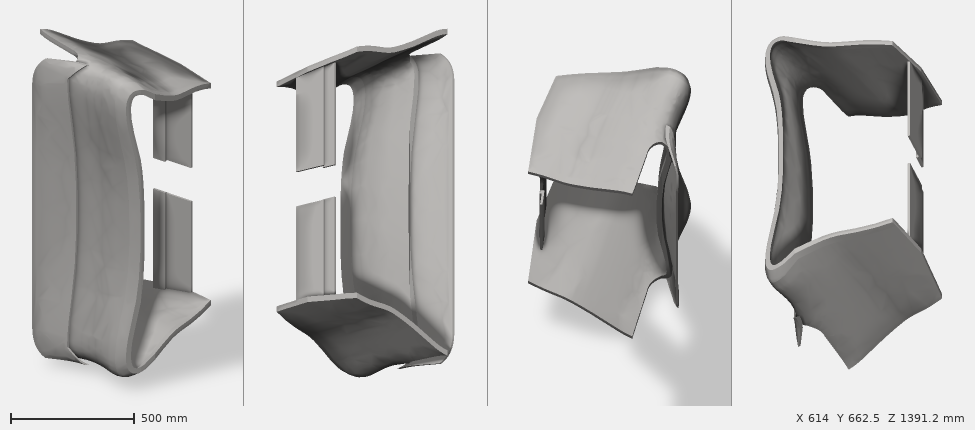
import cadquery as cq
import math


depth_x = 614.0
width_y = 662.0
height_z = 1391.0

shell_thickness = 22.0
rear_reach = 675.0
shell_back_y = 695.0
wall_front_x = 278.0
roof_edge_y = 142.0
notch_start = (202.0, 159.0)
notch_middle = (250.0, 152.0)
notch_end = (wall_front_x, 124.0)
rear_corner_front = (4.0, 600.0)
rear_corner_middle = (253.0, width_y)

trim_outer = [(463.0, width_y), (548.0, 454.0), (611.0, 282.0), (depth_x, 209.0), (607.0, 111.0),
              (607.0, 0.0)]
trim_inner = [(438.0, width_y), (512.0, 465.0), (585.0, 282.0), (566.0, 139.0), (566.0, 0.0)]

guard_thickness = 8.0
guard_back_y = 181.0
guard_front_x = 145.0
guard_rear_x = 292.0
guard_top = 660.0
guard_straight_top = 543.0
guard_rear_straight_top = 591.0
guard_corner_middle_x = 161.0
guard_corner_middle_z = 610.0
guard_top_front_x = 196.0
guard_top_rear_x = 352.0

post_start = (150.0, 595.0)
post_angle = 14.0
post_thickness = 10.0
narrow_strip_length = 64.0
wide_strip_start = 50.0
wide_strip_length = 145.0
narrow_strip_end = 68.0
wide_strip_end = 74.0

SHELL_SECTIONS = {
    0.0: [(rear_reach, 509.0), (600.0, 535.0), (516.0, 554.0), (438.0, 561.0), (383.0, 580.0), (267.0, 639.0),
          (143.0, 695.4), (83.0, 690.0), (49.0, 640.0), (42.0, 557.0), (65.0, 334.0), (83.0, 0.0)],
    139.0: [(rear_reach, 502.0), (600.0, 527.0), (516.0, 545.0), (434.0, 555.0), (375.0, 577.0), (267.0, 632.0),
           (159.0, 675.0), (102.0, 669.0), (70.0, 629.0), (60.0, 557.0), (86.0, 334.0), (105.0, 0.0)],
    278.0: [(rear_reach, 495.0), (600.0, 519.0), (516.0, 538.0), (431.0, 551.0), (369.0, 575.0), (267.0, 625.0),
           (178.0, 660.0), (124.0, 653.0), (90.0, 619.0), (81.0, 557.0), (107.0, 334.0), (125.0, 0.0)],
    431.0: [(rear_reach, 487.0), (600.0, 509.0), (516.0, 527.0), (425.0, 543.0), (362.0, 568.0), (267.0, 618.0),
           (186.0, 653.0), (145.0, 644.0), (120.0, 610.0), (113.0, 550.0), (145.0, 334.0), (167.0, 0.0)],
    566.0: [(rear_reach, 480.0), (600.0, 501.0), (516.0, 513.0), (417.0, 529.0), (355.0, 555.0), (267.0, 608.0),
           (189.0, 650.0), (146.0, 643.0), (121.0, 607.0), (114.0, 543.0), (153.0, 334.0), (181.0, 0.0)],
    614.0: [(rear_reach, 472.0), (600.0, 490.0), (516.0, 504.0), (417.0, 518.0), (350.0, 545.0), (267.0, 593.0),
           (206.0, 622.0), (170.0, 614.0), (150.0, 585.0), (145.0, 540.0), (182.0, 334.0), (207.0, 0.0)],
}

GUARD_SECTIONS = {
    145.0: [(5.0, 673.0), (1.0, 640.0), (0.0, 557.0), (0.0, 334.0), (0.0, 0.0)],
    209.0: [(45.0, 673.0), (30.0, 640.0), (22.0, 557.0), (39.0, 334.0), (50.0, 0.0)],
    278.0: [(111.0, 673.0), (75.0, 643.0), (63.0, 557.0), (89.0, 334.0), (107.0, 0.0)],
    362.0: [(160.0, 673.0), (106.0, 645.0), (89.0, 557.0), (115.0, 334.0), (135.0, 0.0)],
}


def mirrored(upper_half):
    """Add the lower half of an outline whose last point lies at Z = 0."""
    return upper_half + [(y, -z) for y, z in reversed(upper_half[:-1])]


def inset(points, distance):
    """Move each point square to the line through its neighbours, toward the inside of the C."""
    moved = []
    for i, (y, z) in enumerate(points):
        y0, z0 = points[max(i - 1, 0)]
        y1, z1 = points[min(i + 1, len(points) - 1)]
        length = math.hypot(y1 - y0, z1 - z0)
        moved.append((y - distance * (z1 - z0) / length, z + distance * (y1 - y0) / length))
    return moved


def section_loft(sections, distance, back_y):
    """Loft closed sections: a spline through the inset outline, closed by straight lines at back_y."""
    wires = []
    for x, upper_half in sections.items():
        outline = inset(mirrored(upper_half), distance)
        points = [cq.Vector(x, y, z) for y, z in outline]
        top_corner = cq.Vector(x, back_y, points[0].z)
        bottom_corner = cq.Vector(x, back_y, points[-1].z)
        closing = cq.Wire.makePolygon([points[-1], bottom_corner, top_corner, points[0]])
        wires.append(cq.Wire.assembleEdges([cq.Edge.makeSpline(points), *closing.Edges()]))
    return cq.Workplane(cq.Solid.makeLoft(wires))


def full_height_prism(points):
    return cq.Workplane("XY").polyline(points).close().extrude(height_z, both=True)


outside = section_loft(SHELL_SECTIONS, 0, shell_back_y)
inside = section_loft(SHELL_SECTIONS, shell_thickness, shell_back_y)


def make_plan():
    """Plan outline of housing and trim together, with the rounded notch ahead of the wall."""
    outline = cq.Workplane("XY").moveTo(0, roof_edge_y).lineTo(*rear_corner_front)
    outline = outline.lineTo(*rear_corner_middle)
    for point in trim_outer:
        outline = outline.lineTo(*point)
    outline = outline.lineTo(wall_front_x, 0).lineTo(*notch_end)
    outline = outline.threePointArc(notch_middle, notch_start).close()
    return outline.extrude(height_z, both=True)


trimmed_shell = outside.cut(inside).intersect(make_plan())
trim_region = full_height_prism(trim_inner + trim_outer[::-1])
housing = trimmed_shell.cut(trim_region)
rear_trim = trimmed_shell.intersect(trim_region)


def make_guard():
    """Flared strip beside the wall, with swept-back corners cut square to its face."""
    outer = section_loft(GUARD_SECTIONS, 0, guard_back_y)
    inner = section_loft(GUARD_SECTIONS, guard_thickness, guard_back_y)
    front = cq.Workplane("XZ").moveTo(guard_front_x, -guard_straight_top)
    front = front.lineTo(guard_front_x, guard_straight_top)
    front = front.threePointArc((guard_corner_middle_x, guard_corner_middle_z), (guard_top_front_x, guard_top))
    front = front.lineTo(guard_top_rear_x, guard_top)
    front = front.lineTo(guard_rear_x, guard_rear_straight_top).lineTo(guard_rear_x, -guard_rear_straight_top)
    front = front.lineTo(guard_top_rear_x, -guard_top).lineTo(guard_top_front_x, -guard_top)
    front = front.threePointArc((guard_corner_middle_x, -guard_corner_middle_z),
                                (guard_front_x, -guard_straight_top))
    silhouette = front.close().extrude(width_y, both=True)
    return outer.cut(inner).intersect(silhouette)


def make_post(side):
    """Two lapped strips from their free end to the roof (side = 1) or the floor (side = -1)."""
    narrow = cq.Workplane("XY").box(narrow_strip_length, post_thickness, height_z, centered=False)
    narrow = narrow.translate((0, 0, narrow_strip_end))
    wide = cq.Workplane("XY").box(wide_strip_length, post_thickness, height_z, centered=False)
    wide = wide.translate((wide_strip_start, post_thickness, wide_strip_end))
    post = narrow.union(wide).rotate((0, 0, 0), (0, 0, 1), post_angle)
    post = post.translate((*post_start, 0))
    if side < 0:
        post = post.mirror("XY")
    return post.intersect(inside)


guard = make_guard()
posts = [make_post(side) for side in (1, -1)]

result = cq.Compound.makeCompound(
    [housing.val(), rear_trim.val(), guard.val(), *[post.val() for post in posts]]
)